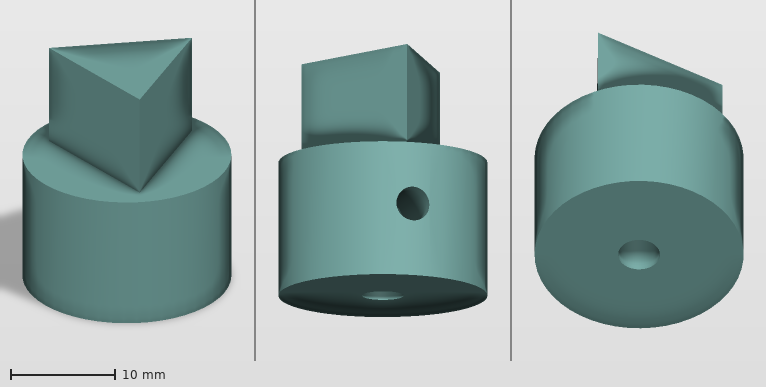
import cadquery as cq

total_height = 23.0
body_diameter = 20.0
body_height = 13.0
triangle_circle_diameter = 16.0
bore_diameter = 4.0
side_hole_diameter = 3.3
side_hole_height = 7.0

body_radius = body_diameter / 2
prism_height = total_height - body_height

body = cq.Workplane("XY").circle(body_radius).extrude(body_height)

prism = (
    cq.Workplane("XY")
    .workplane(offset=body_height)
    .transformed(rotate=(0, 0, 180))
    .polygon(3, triangle_circle_diameter)
    .extrude(prism_height)
)

bore = cq.Workplane("XY").circle(bore_diameter / 2).extrude(body_height)

side_hole = (
    cq.Workplane("YZ", origin=(-body_radius, 0, side_hole_height))
    .circle(side_hole_diameter / 2)
    .extrude(body_radius)
)

result = body.union(prism).cut(bore).cut(side_hole)